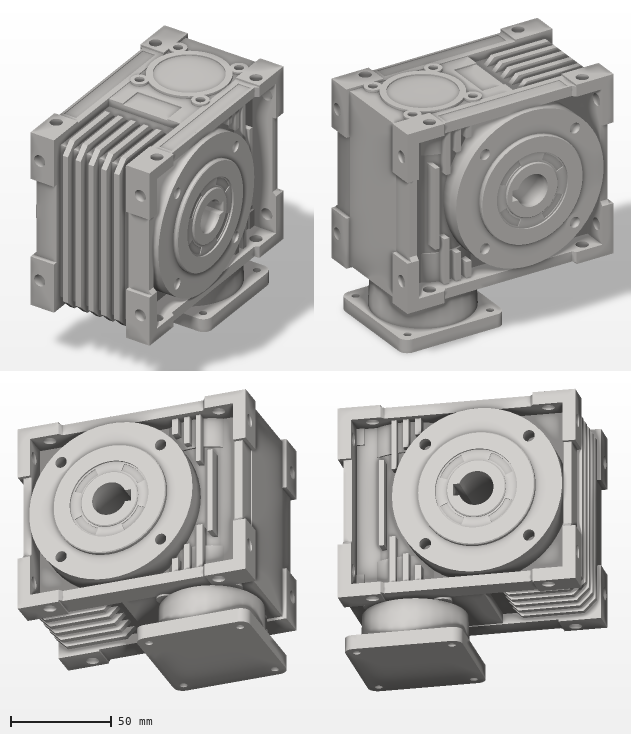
import cadquery as cq
import math


total_height = 127.0
housing_top = 50.0
housing_height = 101.0
housing_bottom = housing_top - housing_height
housing_mid_z = (housing_top + housing_bottom) / 2
housing_front = -50.0
housing_length = 121.5
housing_back = housing_front + housing_length
worm_distance = 40.0

frame_outer_x = 35.5
frame_inner_x = 21.5
window_front = -43.4
window_back = 64.75
window_height = 87.6
relief_x = 33.5
relief_front = -28.2
relief_back = 49.6
relief_half_height = 22.75
relief_end_run = 1.5
relief_lower_run = 2.0
relief_depth_z = 1.0
relief_depth_y = 2.4
mount_hole_diameter = 6.6
mount_hole_x = 30.0
mount_hole_front = -35.0
mount_hole_back = 55.0
mount_hole_z = 35.0
panel_inner_x = 24.8
panel_outer_x = 32.2
panel_front = -24.8
panel_back = 46.8
panel_depth = 0.5

body_back = 69.5
body_front = -44.0
body_inset_z = 1.5
top_step = 4.3
bottom_step = 4.9
plate_width = 26.6
plate_length = 13.4
plate_depth = 0.8
fin_count = 5
fin_pitch = 7.65
fin_width = 3.1
fin_front = -49.1
fin_start = -6.4
fin_chamfer = 6.3

bulge_radius = 26.0
waist_radius = 25.0
waist_top = 27.4
waist_bottom = -28.2
rib_outer_x = 30.0
rib_root_x = 20.0
window_pad_x = 22.5
window_pad_length = 4.0
window_pad_end_z = 34.6

ring_radius = 21.6
cap_radius = 18.2
cap_depth = 0.8
ear_count = 4
ear_circle_radius = 25.4
ear_radius = 4.6
ear_hole_diameter = 5.0
ear_hole_depth = 10.0
ear_first_angle = 46.0

neck_top_radius = 26.6
neck_bottom_radius = 27.4
motor_plate_size = 60.0
motor_plate_thickness = 7.5
motor_plate_corner = 5.0
motor_hole_spacing = 48.6
motor_hole_diameter = 4.0

overall_half_width = 39.0
flange_radius = 43.5
flange_outer_x = 36.5
flange_hole_circle = 37.5
flange_hole_diameter = 6.0
flange_hole_depth = 10.0
pilot_radius = 30.0
pilot_chamfer = 0.5
seal_radius = 21.0
seal_depth = 1.0
shaft_radius = 15.2
shaft_chamfer = 0.5
seal_pocket_inner = 16.1
seal_pocket_outer = 20.1
seal_pocket_half_angle = 22.5
seal_pocket_depth = 0.5
flange_hole_angles = (45, 135, 225, 315)
bore_diameter = 18.0
key_width = 6.2
key_reach = 11.8

clearance = 1.0
sides = (-1, 1)


def block(x0, x1, y0, y1, z0, z1):
    """Box between two corners; the limits may come in either order along each axis."""
    size = (abs(x1 - x0), abs(y1 - y0), abs(z1 - z0))
    middle = ((x0 + x1) / 2, (y0 + y1) / 2, (z0 + z1) / 2)
    return cq.Workplane("XY").box(*size).translate(middle)


def disc_z(x, y, radius, z0, z1):
    """Upright cylinder between two heights."""
    return cq.Workplane("XY", origin=(x, y, z0)).circle(radius).extrude(z1 - z0)


def disc_x(y, z, radius, x0, x1):
    """Cylinder along X between two positions."""
    return cq.Workplane("YZ", origin=(x0, y, z)).circle(radius).extrude(x1 - x0)


def make_frame(side):
    """Rectangular side frame with corner blocks and thinner bands between them."""
    outer = side * frame_outer_x
    inner = side * frame_inner_x
    frame = block(inner, outer, housing_front, housing_back, housing_bottom, housing_top)
    window_half = window_height / 2
    frame = frame.cut(
        block(
            inner, outer + side * clearance, window_front, window_back,
            housing_mid_z - window_half, housing_mid_z + window_half,
        )
    )

    band_relief = (
        cq.Workplane("XY", origin=(0, 0, housing_bottom))
        .polyline([
            (outer, relief_front),
            (side * relief_x, relief_front + relief_end_run),
            (side * relief_x, relief_back - relief_end_run),
            (outer, relief_back),
        ])
        .close()
        .extrude(housing_height)
    )
    post_relief = (
        cq.Workplane("XZ", origin=(0, housing_back, 0))
        .polyline([
            (outer, relief_half_height),
            (side * relief_x, relief_half_height),
            (side * relief_x, relief_lower_run - relief_half_height),
            (outer, -relief_half_height),
        ])
        .close()
        .extrude(housing_length)
    )
    frame = frame.cut(band_relief).cut(post_relief)

    for z, inward in ((housing_top, -1), (housing_bottom, 1)):
        frame = frame.cut(
            block(inner, outer, relief_front, relief_back, z, z + inward * relief_depth_z)
        )
    for y, inward in ((housing_front, 1), (housing_back, -1)):
        frame = frame.cut(
            block(
                inner, outer, y, y + inward * relief_depth_y,
                -relief_half_height, relief_half_height,
            )
        )

    strip_top = housing_top - relief_depth_z
    panel = block(
        side * panel_inner_x, side * panel_outer_x, panel_front, panel_back,
        strip_top - panel_depth, strip_top,
    )
    return frame.cut(panel)


def drill_mounting_holes(frame, side):
    """Holes through the bands of one side frame, along Z and along Y."""
    hole_radius = mount_hole_diameter / 2
    x = side * mount_hole_x
    for y in (mount_hole_front, mount_hole_back):
        frame = frame.cut(disc_z(x, y, hole_radius, housing_bottom, housing_top))
    for z in (-mount_hole_z, mount_hole_z):
        hole = (
            cq.Workplane("XZ", origin=(x, housing_back, z))
            .circle(hole_radius)
            .extrude(housing_length)
        )
        frame = frame.cut(hole)
    return frame


def make_body():
    """Middle body, full height behind the bore axis and stepped down in front of it."""
    top = housing_top - body_inset_z
    bottom = housing_bottom + body_inset_z
    half_width = frame_inner_x
    body = block(-half_width, half_width, 0, body_back, bottom, top)
    body = body.union(
        block(-half_width, half_width, body_front, 0, bottom + bottom_step, top - top_step)
    )
    name_plate = block(
        -plate_width / 2, plate_width / 2, 0, plate_length, top - plate_depth, top
    )
    return body.cut(name_plate)


def make_fins():
    """Cooling fins wrapping over the top, front and bottom of the lower part of the body."""
    top = housing_top - body_inset_z
    bottom = housing_bottom + body_inset_z
    outline = [
        (fin_start, bottom + bottom_step),
        (fin_start - bottom_step, bottom),
        (fin_front + fin_chamfer, bottom),
        (fin_front, bottom + fin_chamfer),
        (fin_front, top - fin_chamfer),
        (fin_front + fin_chamfer, top),
        (fin_start - top_step, top),
        (fin_start, top - top_step),
    ]
    fin = cq.Workplane("YZ").polyline(outline).close().extrude(fin_width / 2, both=True)
    fins = cq.Workplane("XY")
    for index in range(fin_count):
        x = (index - (fin_count - 1) / 2) * fin_pitch
        fins = fins.add(fin.translate((x, 0, 0)))
    return fins


def make_bulges():
    """Worm bearing housings joined by a slimmer waist, all around the input axis."""
    top = housing_top - body_inset_z - panel_depth
    bottom = housing_bottom + body_inset_z + panel_depth
    upper = disc_z(0, worm_distance, bulge_radius, waist_top, top)
    waist = disc_z(0, worm_distance, waist_radius, waist_bottom, waist_top)
    lower = disc_z(0, worm_distance, bulge_radius, bottom, waist_bottom)
    return upper.union(waist).union(lower)


def make_window_ribs(side):
    """Upright ribs and small corner pads on the floor of one side window."""
    window_top = housing_mid_z + window_height / 2
    window_bottom = housing_mid_z - window_height / 2
    ribs = [
        (49.0, 51.6, -22.9, 22.7),
        (42.8, 45.3, 17.4, window_top),
        (36.5, 39.4, 28.5, window_top),
        (30.2, 33.3, 34.8, window_top),
        (43.3, 46.3, window_bottom, -18.5),
        (36.5, 39.4, window_bottom, waist_bottom),
        (30.2, 33.3, window_bottom, -35.0),
    ]
    group = cq.Workplane("XY")
    for y0, y1, z0, z1 in ribs:
        group = group.add(block(side * rib_root_x, side * rib_outer_x, y0, y1, z0, z1))
    for z, end_z in ((window_top, window_pad_end_z), (window_bottom, -window_pad_end_z)):
        group = group.add(
            block(
                side * rib_root_x, side * window_pad_x,
                window_back - window_pad_length, window_back, z, end_z,
            )
        )
    return group


def ear_points():
    """Centres of the screw ears around the input axis."""
    angles = [
        math.radians(ear_first_angle + 360 / ear_count * index)
        for index in range(ear_count)
    ]
    return [
        (
            ear_circle_radius * math.cos(angle),
            worm_distance + ear_circle_radius * math.sin(angle),
        )
        for angle in angles
    ]


def make_bearing_ring(z0, z1):
    """Raised bearing cap ring with screw ears."""
    ring = disc_z(0, worm_distance, ring_radius, z0, z1)
    for x, y in ear_points():
        ring = ring.union(disc_z(x, y, ear_radius, z0, z1))
    return ring


def cut_cap_details(housing):
    """Sunken cap and screw holes in the top bearing ring."""
    housing = housing.cut(
        disc_z(0, worm_distance, cap_radius, housing_top - cap_depth, housing_top)
    )
    for x, y in ear_points():
        housing = housing.cut(
            disc_z(x, y, ear_hole_diameter / 2, housing_top - ear_hole_depth, housing_top)
        )
    return housing


def make_input():
    """Conical input neck carrying the square motor plate."""
    bottom = housing_top - total_height
    plate_top = bottom + motor_plate_thickness
    neck = (
        cq.Workplane("XY", origin=(0, worm_distance, plate_top))
        .circle(neck_bottom_radius)
        .workplane(offset=housing_bottom - plate_top)
        .circle(neck_top_radius)
        .loft()
    )
    plate = (
        cq.Workplane("XY", origin=(0, worm_distance, bottom))
        .rect(motor_plate_size, motor_plate_size)
        .extrude(motor_plate_thickness)
        .edges("|Z")
        .fillet(motor_plate_corner)
        .faces("<Z")
        .workplane(origin=(0, worm_distance, bottom))
        .rect(motor_hole_spacing, motor_hole_spacing, forConstruction=True)
        .vertices()
        .hole(motor_hole_diameter)
    )
    return neck.union(plate)


def ring_sector(mid_angle, x0, x1):
    """Sector of a ring about the bore axis, used for the pockets in the seal face."""
    def point(radius, angle):
        turn = math.radians(angle)
        return (radius * math.cos(turn), radius * math.sin(turn))

    start = mid_angle - seal_pocket_half_angle
    end = mid_angle + seal_pocket_half_angle
    return (
        cq.Workplane("YZ", origin=(x0, 0, 0))
        .moveTo(*point(seal_pocket_inner, start))
        .lineTo(*point(seal_pocket_outer, start))
        .threePointArc(point(seal_pocket_outer, mid_angle), point(seal_pocket_outer, end))
        .lineTo(*point(seal_pocket_inner, end))
        .threePointArc(point(seal_pocket_inner, mid_angle), point(seal_pocket_inner, start))
        .close()
        .extrude(x1 - x0)
    )


def make_output_flanges():
    """Output flanges on both sides with pilots, seal recesses and screw holes."""
    flanges = disc_x(0, 0, flange_radius, -flange_outer_x, flange_outer_x)
    pilots = (
        disc_x(0, 0, pilot_radius, -overall_half_width, overall_half_width)
        .edges()
        .chamfer(pilot_chamfer)
    )
    flanges = flanges.union(pilots)
    shaft = (
        disc_x(0, 0, shaft_radius, -overall_half_width, overall_half_width)
        .edges()
        .chamfer(shaft_chamfer)
    )
    for side in sides:
        face = side * overall_half_width
        seal_face = face - side * seal_depth
        pocket_floor = seal_face - side * seal_pocket_depth
        screw_floor = side * (flange_outer_x - flange_hole_depth)
        flanges = flanges.cut(disc_x(0, 0, seal_radius, seal_face, face))
        for angle in flange_hole_angles:
            flanges = flanges.cut(ring_sector(angle, pocket_floor, seal_face))
            y = flange_hole_circle * math.cos(math.radians(angle))
            z = flange_hole_circle * math.sin(math.radians(angle))
            flanges = flanges.cut(
                disc_x(y, z, flange_hole_diameter / 2, screw_floor, side * flange_outer_x)
            )
    return flanges.union(shaft)


def cut_bore(housing):
    """Output bore with its keyway, open on both sides."""
    half_width = overall_half_width
    bore = disc_x(0, 0, bore_diameter / 2, -half_width, half_width)
    key = block(-half_width, half_width, 0, key_reach, -key_width / 2, key_width / 2)
    return housing.cut(bore.union(key))


def join(base, group):
    """Fuse every solid of a group onto the base."""
    for solid in group.vals():
        base = base.union(cq.Workplane(solid))
    return base


housing = make_body().union(make_bulges())
for side in sides:
    housing = housing.union(drill_mounting_holes(make_frame(side), side))
    housing = join(housing, make_window_ribs(side))
housing = join(housing, make_fins())
housing = housing.union(make_bearing_ring(housing_top - body_inset_z, housing_top))
housing = housing.union(make_bearing_ring(housing_bottom, housing_bottom + body_inset_z))
housing = cut_cap_details(housing)
housing = housing.union(make_input()).union(make_output_flanges())
result = cut_bore(housing)